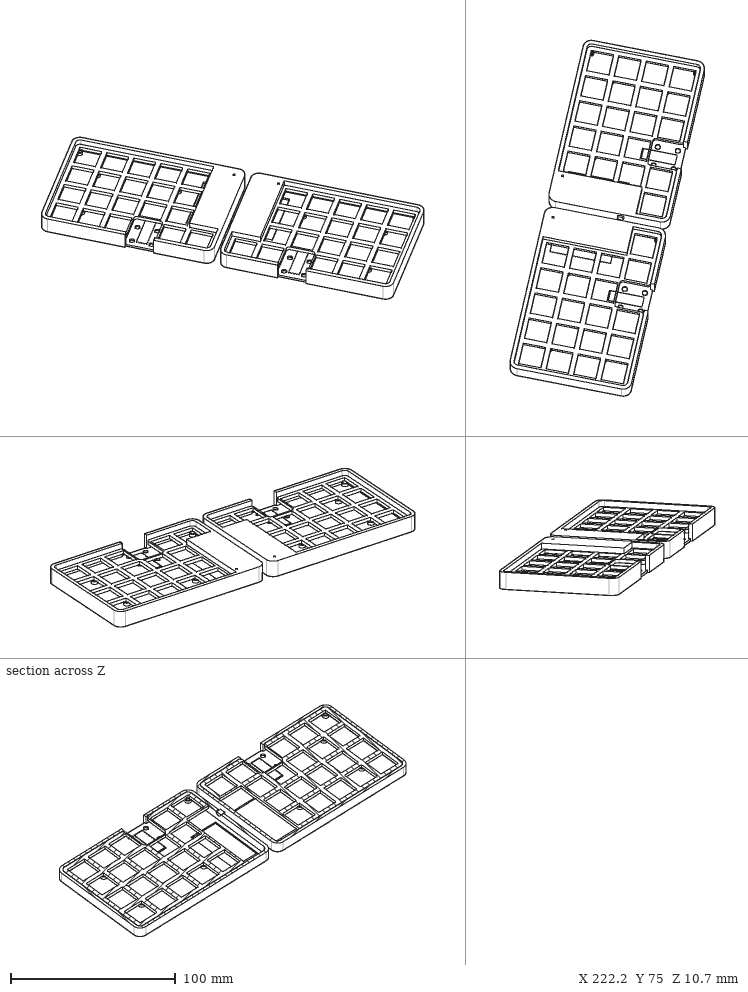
import cadquery as cq

total_width = 222.2
depth = 75.0
height = 10.7
half_gap = 4.0
outer_radius = 5.0
wall = 2.5

floor_top = 1.5
boss_top = 3.3
plate_bottom = 4.9
plate_top = 7.0

columns = 6
rows = 4
window = 13.8
plate_margin = 2.7
cover_clearance = 1.8

notch_width = 18.0
notch_offset = 54.0
notch_depth = 21.0
notch_radius = 2.0
floor_setback = 1.0

strip_width = 6.7
strip_front = 5.0
strip_length = 20.9
strip_end_gap = 0.7
strip_thickness = 0.7
hole_diameter = 3.0
hole_spacing = 12.5
hole_front = 5.3
hole_depth = 1.0

recess_width = 20.0
recess_length = 37.5
recess_offset = 84.0
recess_front = 29.8
recess_depth = 1.0

boss_diameter = 4.0
pin_diameter = 2.5
corner_boss_inset = 0.5

indicator_diameter = 1.2
left_indicator_side = 6.5
right_indicator_side = 17.5
indicator_back = 5.8

button_diameter = 4.0
button_front = 29.5
button_z = 6.9
button_projection = 1.0

left = -total_width / 2
right = -half_gap / 2
front = -depth / 2
back = depth / 2
inner_left = left + wall
inner_right = right - wall
inner_front = front + wall
inner_back = back - wall
inner_radius = outer_radius - wall

window_inset = wall + plate_margin
pitch = (depth - 2 * window_inset - window) / (rows - 1)
first_key_x = left + window_inset + window / 2
first_key_y = front + window_inset + window / 2
window_reach = window / 2

cover_left = first_key_x + (columns - 2) * pitch + window_reach + cover_clearance
cover_front = first_key_y + window_reach + cover_clearance
notch_left = left + notch_offset
notch_centre = notch_left + notch_width / 2


def block(x0, x1, y0, y1, z0, z1):
    """Box between two opposite corners."""
    return cq.Workplane("XY").box(x1 - x0, y1 - y0, z1 - z0, centered=False).translate((x0, y0, z0))


def cylinder(x, y, z0, z1, diameter):
    """Upright cylinder between two heights."""
    return cq.Workplane("XY").circle(diameter / 2).extrude(z1 - z0).translate((x, y, z0))


def key_positions():
    """Window centres; only the front row has a key in the last column."""
    return [
        (first_key_x + column * pitch, first_key_y + row * pitch)
        for row in range(rows)
        for column in range(columns)
        if row == 0 or column < columns - 1
    ]


def boss_positions():
    """Bosses between keys and at the open corners of the key field."""
    first_gap_x = first_key_x + pitch / 2
    last_gap_x = first_gap_x + (columns - 3) * pitch
    front_gap_y = first_key_y + pitch / 2
    back_gap_y = front_gap_y + (rows - 2) * pitch
    corner_reach = window_reach + corner_boss_inset
    corner_left = first_key_x - corner_reach
    corner_right = first_key_x + (columns - 1) * pitch + corner_reach
    corner_front = first_key_y - corner_reach
    corner_back = first_key_y + (rows - 1) * pitch + corner_reach
    return [
        (first_gap_x, front_gap_y),
        (first_gap_x, back_gap_y),
        (last_gap_x, back_gap_y),
        (corner_left, corner_front),
        (corner_left, corner_back),
        (corner_right, corner_front),
    ]


def cavity(z0, z1):
    """Rounded block that fills the case inside its walls."""
    return block(inner_left, inner_right, inner_front, inner_back, z0, z1).edges("|Z").fillet(inner_radius)


def cover_block(z0, z1):
    """Back inner corner of the case, where the controller is covered."""
    return block(cover_left, right, cover_front, back, z0, z1)


def make_strip():
    """Strip that lies flush in the notch floor and runs back under the plate."""
    x0 = notch_centre - strip_width / 2
    y0 = front + strip_front
    return block(x0, x0 + strip_width, y0, y0 + strip_length, floor_top - strip_thickness, floor_top)


def make_plate():
    """Key plate with its windows, the cover corner left out and a front notch."""
    plate = cavity(plate_bottom, plate_top).cut(cover_block(plate_bottom, plate_top))
    notch = block(
        notch_left, notch_left + notch_width, front, front + notch_depth, plate_bottom, plate_top
    )
    plate = plate.cut(notch)
    for edge_y in (inner_front, front + notch_depth):
        reach = notch_width / 2 + notch_radius / 2
        corner_box = cq.selectors.BoxSelector(
            (notch_centre - reach, edge_y - notch_radius / 2, 0),
            (notch_centre + reach, edge_y + notch_radius / 2, height),
        )
        plate = plate.edges("|Z").edges(corner_box).fillet(notch_radius)
    for x, y in key_positions():
        near = (x - window_reach, y - window_reach)
        far = (x + window_reach, y + window_reach)
        plate = plate.cut(block(near[0], far[0], near[1], far[1], plate_bottom, plate_top))
    return plate


def make_case(indicator_side):
    """Tray with a covered corner, an open notch, bosses and floor recesses."""
    case = block(left, right, front, back, 0, height).edges("|Z").fillet(outer_radius)
    room = cavity(floor_top, plate_top).union(cavity(plate_top, height).cut(cover_block(plate_top, height)))
    case = case.cut(room)

    notch_right = notch_left + notch_width
    case = case.cut(block(notch_left, notch_right, front, inner_front, floor_top, height))
    case = case.cut(block(notch_left, notch_right, front, front + floor_setback, 0, floor_top))

    for x, y in boss_positions():
        case = case.union(cylinder(x, y, floor_top, boss_top, boss_diameter))
        case = case.union(cylinder(x, y, boss_top, plate_bottom, pin_diameter))

    for x in (notch_centre - hole_spacing / 2, notch_centre + hole_spacing / 2):
        for y in (front + hole_front, front + hole_front + hole_spacing):
            case = case.cut(cylinder(x, y, floor_top - hole_depth, floor_top, hole_diameter))

    strip = make_strip()
    case = case.cut(strip).cut(strip.translate((0, strip_end_gap, 0)))

    x0 = left + recess_offset
    y0 = front + recess_front
    case = case.cut(
        block(x0, x0 + recess_width, y0, y0 + recess_length, floor_top - recess_depth, floor_top)
    )

    return case.cut(
        cylinder(right - indicator_side, back - indicator_back, plate_top, height, indicator_diameter)
    )


def make_button():
    """Round button that fills a hole in the side wall of the right half and stands out of it."""
    return (
        cq.Workplane("YZ", origin=(-right - button_projection, front + button_front, button_z))
        .circle(button_diameter / 2)
        .extrude(button_projection + wall)
    )


left_case = make_case(left_indicator_side)
left_plate = make_plate()
left_strip = make_strip()
button = make_button()
right_case = make_case(right_indicator_side).mirror("YZ").cut(button)
right_plate = left_plate.mirror("YZ")
right_strip = left_strip.mirror("YZ")

result = cq.Compound.makeCompound(
    [
        left_case.val(),
        left_plate.val(),
        left_strip.val(),
        right_case.val(),
        right_plate.val(),
        right_strip.val(),
        button.val(),
    ]
)